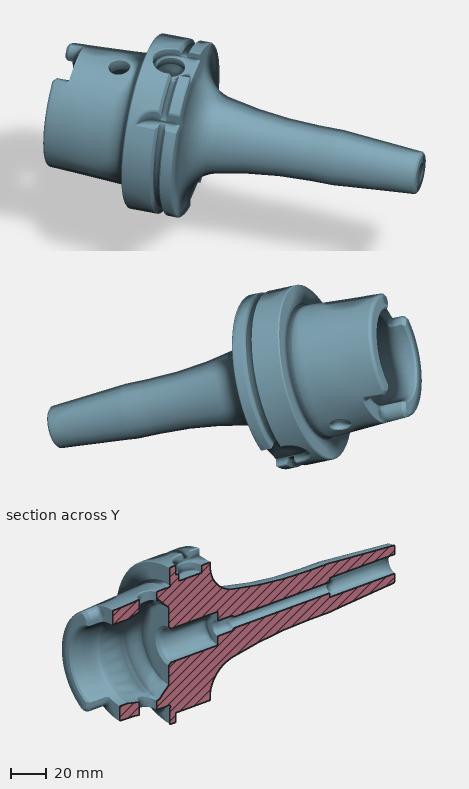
import cadquery as cq
import math

total_length = 210.0

taper_slope = 1 / 20
taper_base_radius = 37.8
taper_end_x = 47.5
taper_front_radius = taper_base_radius - taper_slope * taper_end_x
taper_front_round = 2.0

flange_start_x = 50.0
flange_end_x = 79.0
flange_radius = 50.0
flange_edge_chamfer = 0.6
edge_break = 0.6
relief_start_x = 48.3
relief_inner_radius = 37.5
relief_outer_radius = 39.3
relief_round = 1.0
groove_bottom_radius = 45.5
groove_lip_radius = 47.5
groove_start_x = 66.5
groove_wall_start_x = 67.8
groove_wall_end_x = 71.5
groove_end_x = 72.7
groove_fillet = 0.5

neck_root_arc = 20.0
neck_sweep_arc = 250.0
neck_end_x = 149.0
nose_radius = 15.8
nose_taper_start_x = 162.8
nose_taper_angle = 4.5
nose_chamfer = 1.0

mouth_bore_radius = 26.5
mouth_bore_chamfer = 1.0
undercut_start_x = 20.2
undercut_end_x = 40.0
cavity_radius = 31.5
cavity_floor_x = 49.4
cavity_floor_radius = 24.5

coolant_bore_radius = 10.5
coolant_bore_chamfer = 1.7
coolant_bore_end_x = 84.0
pilot_radius = 4.72
pilot_end_x = 94.5
through_radius = 3.4
clamp_bore_radius = 5.98
clamp_bore_depth = 46.2

slot_half_width = 10.3
slot_round = 5.0
slot_shoulder_height = 32.0
slot_floor_fillet = 1.7
slot_mouth_chamfer = 1.9
upper_slot_depth = 9.7
lower_slot_depth = 14.5

cross_hole_radius = 5.98
cross_hole_x = 34.6
cross_hole_chamfer = 0.5

keyway_width = 20.2
keyway_centre_x = 64.7
keyway_floor = 43.9
corner_keyway_wall = 32.0
corner_keyway_floor = 31.3
data_hole_radius = 8.0
data_hole_depth = 4.6

margin = 10.5
tolerance = 0.002


def turned_body():
    sweep_sine = (neck_end_x - flange_end_x - neck_root_arc) / (neck_sweep_arc - neck_root_arc)
    sweep_angle = math.asin(sweep_sine)

    def sweep_point(angle):
        return (
            neck_end_x - neck_sweep_arc * math.sin(angle),
            nose_radius + neck_sweep_arc * (1 - math.cos(angle)),
        )

    join_x, join_radius = sweep_point(sweep_angle)
    root_centre_x = flange_end_x + neck_root_arc
    root_centre_radius = join_radius + neck_root_arc * math.cos(sweep_angle)
    root_mid_angle = (math.pi / 2 + sweep_angle) / 2
    root_mid = (
        root_centre_x - neck_root_arc * math.sin(root_mid_angle),
        root_centre_radius - neck_root_arc * math.cos(root_mid_angle),
    )
    nose_slope = math.tan(math.radians(nose_taper_angle))
    tip_radius = nose_radius - nose_slope * (total_length - nose_taper_start_x)
    profile = (
        cq.Workplane("XY")
        .moveTo(0, 0)
        .lineTo(0, taper_front_radius - taper_front_round)
        .radiusArc((taper_front_round, taper_front_radius), taper_front_round)
        .lineTo(taper_end_x, taper_base_radius)
        .lineTo(relief_start_x, relief_inner_radius)
        .lineTo(flange_start_x - relief_round / 2, relief_inner_radius)
        .radiusArc((flange_start_x + relief_round / 2, relief_inner_radius + relief_round), -relief_round)
        .lineTo(flange_start_x, relief_outer_radius)
        .lineTo(flange_start_x, flange_radius - flange_edge_chamfer)
        .lineTo(flange_start_x + flange_edge_chamfer, flange_radius)
        .lineTo(groove_start_x, flange_radius)
        .lineTo(groove_wall_start_x, groove_lip_radius)
        .lineTo(groove_wall_start_x, groove_bottom_radius + groove_fillet)
        .radiusArc((groove_wall_start_x + groove_fillet, groove_bottom_radius), -groove_fillet)
        .lineTo(groove_wall_end_x - groove_fillet, groove_bottom_radius)
        .radiusArc((groove_wall_end_x, groove_bottom_radius + groove_fillet), -groove_fillet)
        .lineTo(groove_wall_end_x, groove_lip_radius)
        .lineTo(groove_end_x, flange_radius)
        .lineTo(flange_end_x - flange_edge_chamfer, flange_radius)
        .lineTo(flange_end_x, flange_radius - flange_edge_chamfer)
        .lineTo(flange_end_x, root_centre_radius)
        .threePointArc(root_mid, (join_x, join_radius))
        .threePointArc(sweep_point(sweep_angle / 2), (neck_end_x, nose_radius))
        .lineTo(nose_taper_start_x, nose_radius)
        .lineTo(total_length - nose_chamfer, tip_radius + nose_slope * nose_chamfer)
        .lineTo(total_length, tip_radius - nose_chamfer)
        .lineTo(total_length, 0)
        .close()
    )
    return profile.revolve(360, (0, 0, 0), (1, 0, 0))


def axial_bores():
    clamp_start_x = total_length - clamp_bore_depth
    profile = (
        cq.Workplane("XY")
        .moveTo(0, 0)
        .lineTo(0, mouth_bore_radius + mouth_bore_chamfer)
        .lineTo(mouth_bore_chamfer, mouth_bore_radius)
        .lineTo(undercut_start_x, mouth_bore_radius)
        .lineTo(undercut_end_x, cavity_radius)
        .lineTo(cavity_floor_x - (cavity_radius - cavity_floor_radius), cavity_radius)
        .lineTo(cavity_floor_x, cavity_floor_radius)
        .lineTo(cavity_floor_x, coolant_bore_radius + coolant_bore_chamfer)
        .lineTo(cavity_floor_x + coolant_bore_chamfer, coolant_bore_radius)
        .lineTo(coolant_bore_end_x, coolant_bore_radius)
        .lineTo(coolant_bore_end_x, pilot_radius)
        .lineTo(pilot_end_x, pilot_radius)
        .lineTo(pilot_end_x + pilot_radius - through_radius, through_radius)
        .lineTo(clamp_start_x, through_radius)
        .lineTo(clamp_start_x, clamp_bore_radius)
        .lineTo(total_length, clamp_bore_radius)
        .lineTo(total_length, 0)
        .close()
    )
    return profile.revolve(360, (0, 0, 0), (1, 0, 0))


def slot_outline(growth):
    """Slot section, with walls moved outwards by growth: straight walls curving out to flat shoulders."""
    half_width = slot_half_width + growth
    shoulder = slot_shoulder_height - growth
    radius = slot_round - growth
    top = taper_base_radius + margin
    diagonal = radius * math.sqrt(0.5)
    centre_y = half_width + radius
    centre_z = shoulder - radius
    return (
        cq.Workplane("YZ")
        .moveTo(-half_width, 0)
        .lineTo(half_width, 0)
        .lineTo(half_width, centre_z)
        .threePointArc((centre_y - diagonal, centre_z + diagonal), (centre_y, shoulder))
        .lineTo(top, shoulder)
        .lineTo(top, top)
        .lineTo(-top, top)
        .lineTo(-top, shoulder)
        .lineTo(-centre_y, shoulder)
        .threePointArc((diagonal - centre_y, centre_z + diagonal), (-half_width, centre_z))
        .close()
    )


def drive_slot(depth):
    slot = slot_outline(0).extrude(depth).faces(">X").edges().fillet(slot_floor_fillet)
    mouth = slot_outline(slot_mouth_chamfer).extrude(slot_mouth_chamfer, taper=45)
    return slot.union(mouth)


def keyway(centre_y, floor_z):
    """Round-ended slot open towards the neck, milled down to floor_z."""
    length = flange_end_x - keyway_centre_x + margin
    height = flange_radius - floor_z + margin
    plane = cq.Workplane("XY").workplane(offset=floor_z)
    end = plane.center(keyway_centre_x, centre_y).circle(keyway_width / 2).extrude(height)
    run = (
        plane.center(keyway_centre_x + length / 2, centre_y)
        .rect(length, keyway_width)
        .extrude(height)
    )
    return end.union(run)


def flange_keyways():
    top = keyway(0, keyway_floor)
    bottom = top.rotate((0, 0, 0), (1, 0, 0), 180)
    corner = keyway(-corner_keyway_wall - keyway_width / 2, corner_keyway_floor)
    data_hole = (
        cq.Workplane("XY")
        .workplane(offset=keyway_floor)
        .center(keyway_centre_x, 0)
        .circle(data_hole_radius)
        .extrude(-data_hole_depth)
    )
    return top.union(bottom).union(corner).union(data_hole)


def cross_hole():
    reach = taper_base_radius + margin
    return (
        cq.Workplane("XY")
        .workplane(offset=-reach)
        .center(cross_hole_x, 0)
        .circle(cross_hole_radius)
        .extrude(2 * reach)
    )


def keyway_rim_edges(solid):
    """Edges where the keyway walls meet the outer cylinder of the flange.

    The seam of that cylinder lies at Z = 0 and is left out, as is the edge of the corner keyway floor.
    """

    def on_outer_cylinder(vertex):
        return abs(math.hypot(vertex.Y, vertex.Z) - flange_radius) < tolerance

    def is_rim(edge):
        box = edge.BoundingBox()
        height = edge.Center().z
        on_wall = abs(height) > tolerance and abs(height - corner_keyway_floor) > tolerance
        return on_wall and box.xlen > tolerance and all(on_outer_cylinder(v) for v in edge.Vertices())

    return [edge for edge in solid.edges().vals() if is_rim(edge)]


def cross_hole_rim_edges(solid):
    """Edges where the cross hole breaks out of the taper."""

    def is_rim(edge):
        near_hole = abs(edge.Center().x - cross_hole_x) < cross_hole_radius
        return near_hole and edge.BoundingBox().xlen > cross_hole_radius and abs(edge.Center().z) > cavity_radius + 2

    return [edge for edge in solid.edges().vals() if is_rim(edge)]


upper_slot = drive_slot(upper_slot_depth)
lower_slot = drive_slot(lower_slot_depth).rotate((0, 0, 0), (1, 0, 0), 180)

body = turned_body().cut(flange_keyways())
body = body.newObject(keyway_rim_edges(body)).chamfer(edge_break)
body = body.cut(cross_hole())
body = body.newObject(cross_hole_rim_edges(body)).chamfer(cross_hole_chamfer)
result = body.cut(axial_bores()).cut(upper_slot).cut(lower_slot)